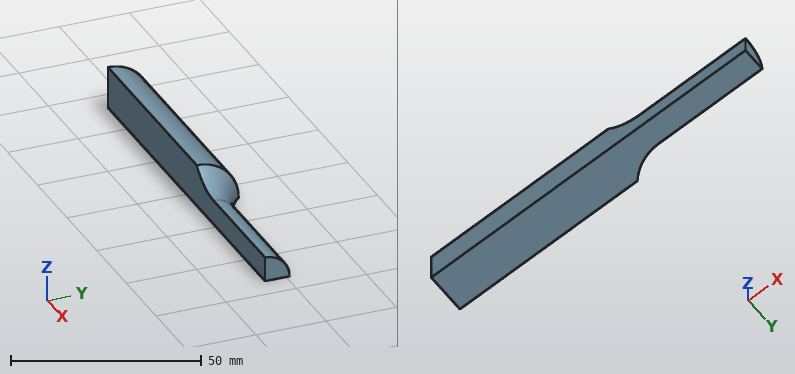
import cadquery as cq
import math

total_length = 106.2
thick_length = 60.0
thick_radius = 12.0
thin_radius = 7.0
neck_arc_radius = 15.0
quarter_turn = 90

step = thick_radius - thin_radius
neck_length = math.sqrt(neck_arc_radius**2 - (neck_arc_radius - step) ** 2)
neck_end = thick_length + neck_length
neck_angle = math.asin(neck_length / neck_arc_radius)
neck_middle = (
    neck_end - neck_arc_radius * math.sin(neck_angle / 2),
    thin_radius + neck_arc_radius * (1 - math.cos(neck_angle / 2)),
)

profile = (
    cq.Workplane("XY")
    .lineTo(0, thick_radius)
    .lineTo(thick_length, thick_radius)
    .threePointArc(neck_middle, (neck_end, thin_radius))
    .lineTo(total_length, thin_radius)
    .lineTo(total_length, 0)
    .close()
)

result = profile.revolve(quarter_turn, (0, 0, 0), (1, 0, 0))